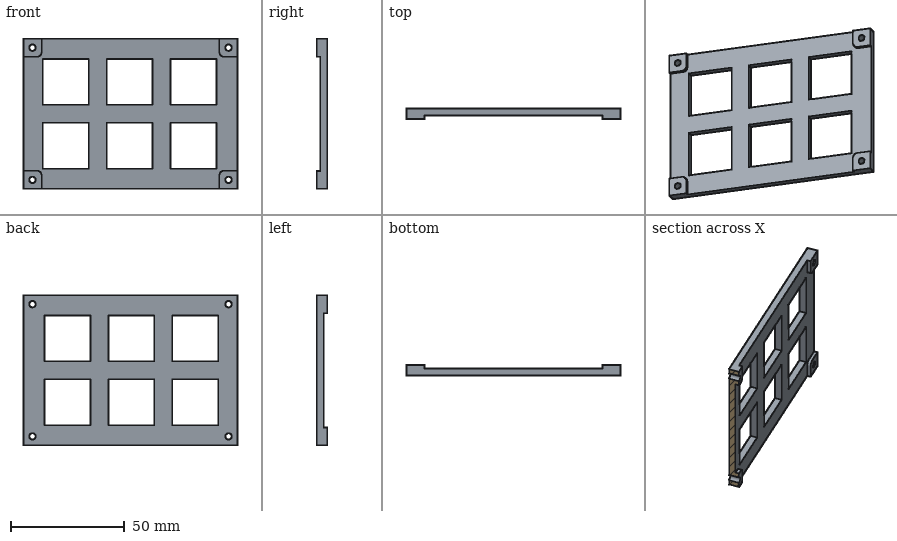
import cadquery as cq

length = 94.0
height = 66.0
plate_thickness = 3.2

pad_size = 8.0
pad_height = 1.6
pad_corner_radius = 2.0
hole_diameter = 2.7
hole_inset = pad_size / 2

columns = 3
rows = 2
window_size = 20.0
window_pitch = 28.0
grid_offset_x = -0.4

total_thickness = plate_thickness + pad_height
back_face = cq.Workplane("XZ", origin=(0, total_thickness / 2, 0))


def corner_pad(side_x, side_z):
    """Full-thickness square block in one corner, rounded at its inner corner."""
    center_x = side_x * (length - pad_size) / 2
    center_z = side_z * (height - pad_size) / 2
    inner_edge = ("<X" if side_x > 0 else ">X", "<Z" if side_z > 0 else ">Z")
    return (
        back_face.center(center_x, center_z)
        .rect(pad_size, pad_size)
        .extrude(total_thickness)
        .faces(inner_edge[0])
        .edges(inner_edge[1])
        .fillet(pad_corner_radius)
    )


plate = back_face.rect(length, height).extrude(plate_thickness)

windows = (
    back_face.center(grid_offset_x, 0)
    .rarray(window_pitch, window_pitch, columns, rows)
    .rect(window_size, window_size)
    .extrude(total_thickness)
)

screw_holes = (
    back_face.rect(length - 2 * hole_inset, height - 2 * hole_inset, forConstruction=True)
    .vertices()
    .circle(hole_diameter / 2)
    .extrude(total_thickness)
)

result = plate
for side_x in (-1, 1):
    for side_z in (-1, 1):
        result = result.union(corner_pad(side_x, side_z))
result = result.cut(windows).cut(screw_holes)